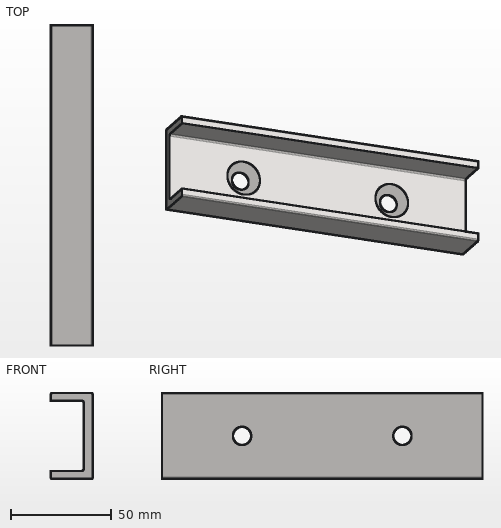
import cadquery as cq

depth = 21.0
length = 160.0
height = 43.0
flange_thickness = 4.0
web_thickness = 4.6
outer_radius = 0.9
inner_radius = 1.0

hole_diameter = 9.0
countersink_diameter = 17.6
countersink_angle = 90.0
hole_spacing = length / 2

web_inner_x = depth / 2 - web_thickness


def make_channel():
    """C-shaped channel open toward -X, with rounded outer and inner corners."""
    block = cq.Workplane("XY").box(depth, length, height).edges("|Y").fillet(outer_radius)
    groove_depth = depth - web_thickness
    groove = (
        cq.Workplane("XY")
        .box(groove_depth, length, height - 2 * flange_thickness)
        .translate((web_inner_x - groove_depth / 2, 0, 0))
        .edges("|Y and >X")
        .fillet(inner_radius)
    )
    return block.cut(groove)


def cut_screw_holes(channel):
    """Holes along the web, countersunk from the inside of the channel."""
    return (
        channel.copyWorkplane(cq.Workplane("YZ", origin=(web_inner_x, 0, 0)))
        .transformed(rotate=(0, 180, 0))
        .rarray(hole_spacing, 1, 2, 1)
        .cskHole(hole_diameter, countersink_diameter, countersink_angle)
    )


result = cut_screw_holes(make_channel())